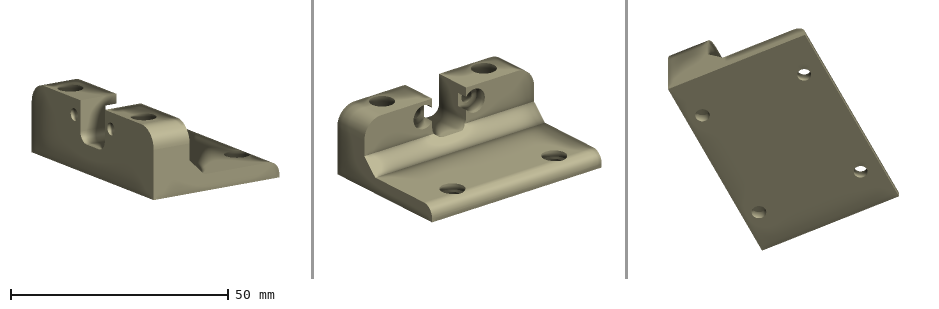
import cadquery as cq

length = 50.0
depth = 35.0
height = 17.0

base_thickness = 4.0
block_depth = 10.0
gusset_leg = 4.0
rear_edge_radius = 3.0
block_corner_radius = 5.0

slot_width = 10.0
slot_depth = 10.0
slot_corner_radius = 2.5

mount_spacing_x = 30.0
front_mount_y = 4.0
rear_mount_y = 30.0
front_hole_diameter = 3.4
rear_hole_diameter = 3.2
mount_bore_diameter = 6.0
mount_bore_floor_z = 2.5

cross_spacing_x = 15.0
cross_hole_z = 13.0
cross_hole_diameter = 3.0
cross_bore_diameter = 6.0
cross_bore_depth = 3.0


def make_body():
    """Extrude the side profile along X and round the outer edges."""
    body = (
        cq.Workplane("YZ")
        .polyline([
            (0, 0),
            (depth, 0),
            (depth, base_thickness),
            (block_depth + gusset_leg, base_thickness),
            (block_depth, base_thickness + gusset_leg),
            (block_depth, height),
            (0, height),
        ])
        .close()
        .extrude(length / 2, both=True)
    )
    rear_edge = cq.selectors.NearestToPointSelector((0, depth, base_thickness))
    body = body.edges(rear_edge).fillet(rear_edge_radius)
    return body.faces(">Z").edges("|Y").fillet(block_corner_radius)


def make_slot():
    """Slot with rounded bottom corners, cutting through the block and into the gusset."""
    slot_length = block_depth + gusset_leg
    return (
        cq.Workplane("XY", origin=(0, 0, height - slot_depth))
        .rect(slot_width, 2 * slot_length)
        .extrude(slot_depth)
        .faces("<Z")
        .edges("|Y")
        .fillet(slot_corner_radius)
    )


def make_mount_cutter(x, y, hole_diameter):
    """Vertical through hole with a flat-floored counterbore open at the top."""
    hole = cq.Workplane("XY", origin=(x, y, 0)).circle(hole_diameter / 2).extrude(height)
    bore = (
        cq.Workplane("XY", origin=(x, y, mount_bore_floor_z))
        .circle(mount_bore_diameter / 2)
        .extrude(height - mount_bore_floor_z)
    )
    return hole.union(bore)


def make_cross_cutter(x):
    """Hole along Y through the block; its rear counterbore breaks into the slot wall."""
    rear_face = cq.Workplane("XZ", origin=(x, block_depth, cross_hole_z))
    hole = rear_face.circle(cross_hole_diameter / 2).extrude(block_depth)
    bore = rear_face.circle(cross_bore_diameter / 2).extrude(cross_bore_depth)
    return hole.union(bore)


result = make_body().cut(make_slot())
for side in (-1, 1):
    mount_x = side * mount_spacing_x / 2
    result = result.cut(make_mount_cutter(mount_x, front_mount_y, front_hole_diameter))
    result = result.cut(make_mount_cutter(mount_x, rear_mount_y, rear_hole_diameter))
    result = result.cut(make_cross_cutter(side * cross_spacing_x / 2))